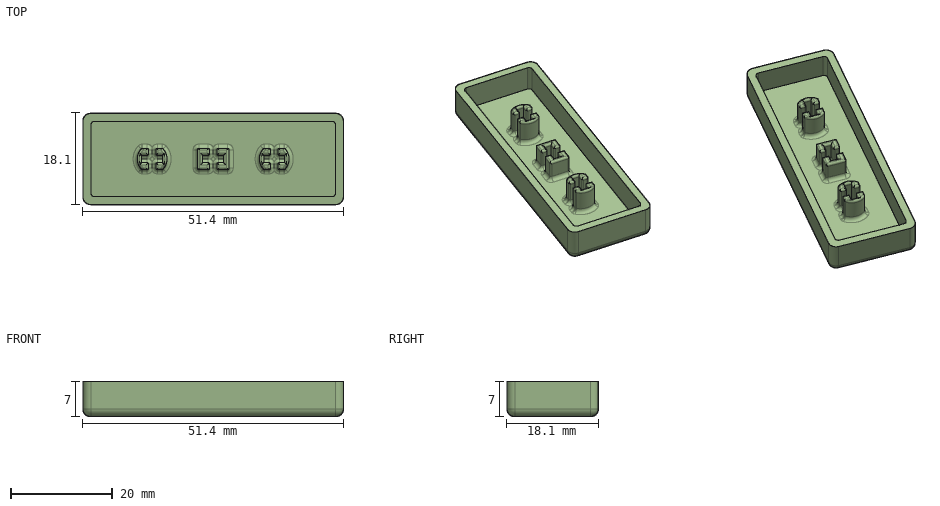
import cadquery as cq

length = 51.4
width = 18.05
height = 7.0
wall = 1.6
corner_radius = 1.6
bottom_fillet = 1.55
cavity_corner_radius = 0.7
floor_level = 1.6

stem_spacing = 12.0
center_stem_top = 6.0
side_stem_top = 6.85
stem_half_depth = 2.1
center_stem_half_width = 3.15
side_stem_radius = 2.95
slot_half_width = 0.7
socket_half_length = 2.05
vertical_edge_radius = 0.3
base_fillet = 0.8
front_rim_fillet = 0.3
rim_fillet = 0.45

pad_size = 12.35
pad_thickness = 0.5
foot_margin = 0.5
foot_band = 0.05


def block(x_min, x_max, y_min, y_max, z_min, z_max):
    size = (x_max - x_min, y_max - y_min, z_max - z_min)
    return cq.Workplane("XY").box(*size, centered=False).translate((x_min, y_min, z_min))


def make_tray():
    outside = cq.Workplane("XY").box(length, width, height, centered=(True, True, False))
    outside = outside.edges("|Z").fillet(corner_radius)
    outside = outside.faces("<Z").edges().fillet(bottom_fillet)
    cavity = (
        cq.Workplane("XY", origin=(0, 0, floor_level))
        .rect(length - 2 * wall, width - 2 * wall)
        .extrude(height - floor_level)
        .edges("|Z")
        .fillet(cavity_corner_radius)
    )
    return outside.cut(cavity)


def front_and_back(top):
    """Slab between the flat front and back of a stem, with rounded rims."""
    half = pad_size / 2
    slab = block(-half, half, -stem_half_depth, stem_half_depth, 0, top)
    return slab.faces(">Z").edges("|X").fillet(front_rim_fillet)


def center_outline(top):
    half_width = center_stem_half_width
    return block(-half_width, half_width, -stem_half_depth, stem_half_depth, 0, top)


def center_crown(top):
    """Centre stem with its outer rims rounded and its upright edges sharp."""
    crown = center_outline(top).faces(">Z").edges("|Y").fillet(rim_fillet)
    return crown.intersect(front_and_back(top))


def side_outline(top):
    half = pad_size / 2
    flats = block(-half, half, -stem_half_depth, stem_half_depth, 0, top)
    return cq.Workplane("XY").circle(side_stem_radius).extrude(top).intersect(flats)


def side_crown(top):
    """Side stem with its outer rims rounded and its upright edges sharp."""
    barrel = cq.Workplane("XY").circle(side_stem_radius).extrude(top)
    return barrel.faces(">Z").edges().fillet(rim_fillet).intersect(front_and_back(top))


def stand_on_pad(upright):
    """Flare the foot of an upright into a pad below Z = 0."""
    half = pad_size / 2
    pad = block(-half, half, -half, half, -pad_thickness, 0)
    reach = half - foot_margin
    foot = cq.selectors.BoxSelector((-reach, -reach, -foot_band), (reach, reach, foot_band))
    return pad.union(upright).edges(foot).fillet(base_fillet)


def make_stem(outline, crown, top):
    """Stem split by a through slot along Y and hollowed by a closed socket along X."""
    half = pad_size / 2
    beyond_socket = block(socket_half_length, half, -half, half, -pad_thickness, top)
    beyond_socket = beyond_socket.edges("<X and >Z").fillet(rim_fillet)
    shell = outline.edges("|Z").fillet(vertical_edge_radius).intersect(crown)
    end_wall = stand_on_pad(shell).intersect(beyond_socket)
    corner = block(slot_half_width, half, slot_half_width, half, 0, top)
    slot_rims = corner.edges("(<X or <Y) and >Z").fillet(rim_fillet)
    post = outline.intersect(corner).edges("|Z").fillet(vertical_edge_radius)
    post = post.intersect(crown).intersect(slot_rims)
    quadrant = block(0, half, 0, half, -pad_thickness, top)
    post = stand_on_pad(post).intersect(quadrant)
    half_stem = end_wall.union(post).union(post.mirror("XZ"))
    return half_stem.union(half_stem.mirror("YZ"))


side_top = side_stem_top - floor_level
center_top = center_stem_top - floor_level
side_stem = make_stem(side_outline(side_top), side_crown(side_top), side_top)
center_stem = make_stem(center_outline(center_top), center_crown(center_top), center_top)

result = make_tray()
for x, stem in ((-stem_spacing, side_stem), (0, center_stem), (stem_spacing, side_stem)):
    result = result.union(stem.translate((x, 0, floor_level)))